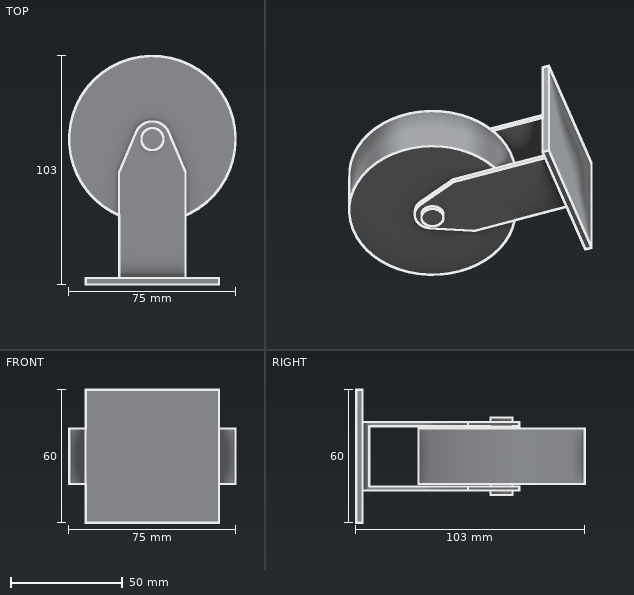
import cadquery as cq
import math

wheel_diameter = 75.0
wheel_width = 25.0
axle_diameter = 10.0
axle_length = 35.0

plate_size = 60.0
plate_thickness = 3.0
axle_to_plate_face = 65.5

fork_width = 30.0
fork_outer_height = 31.0
fork_arm_thickness = 2.0
fork_bridge_thickness = 3.0
fork_tip_radius = 8.0
fork_taper_start_y = -15.0

plate_front_y = -axle_to_plate_face
plate_back_y = plate_front_y + plate_thickness
fork_half_width = fork_width / 2
fork_gap = fork_outer_height - 2 * fork_arm_thickness


def disc(diameter, height):
    """Cylinder on the axle line, centred on the mid-plane of the wheel."""
    return cq.Workplane("XY").circle(diameter / 2).extrude(height / 2, both=True)


def mounting_plate():
    return cq.Workplane("XY").box(
        plate_size, plate_thickness, plate_size
    ).translate((0, plate_front_y + plate_thickness / 2, 0))


def fork_blank():
    """Solid block with the arm outline: parallel sides tapering tangentially to a round tip."""
    corner_distance = math.hypot(fork_half_width, fork_taper_start_y)
    corner_angle = math.atan2(fork_taper_start_y, fork_half_width)
    tangent_angle = corner_angle + math.acos(fork_tip_radius / corner_distance)
    tangent_x = fork_tip_radius * math.cos(tangent_angle)
    tangent_y = fork_tip_radius * math.sin(tangent_angle)
    return (
        cq.Workplane("XY")
        .moveTo(-fork_half_width, plate_back_y)
        .lineTo(fork_half_width, plate_back_y)
        .lineTo(fork_half_width, fork_taper_start_y)
        .lineTo(tangent_x, tangent_y)
        .threePointArc((0, fork_tip_radius), (-tangent_x, tangent_y))
        .lineTo(-fork_half_width, fork_taper_start_y)
        .close()
        .extrude(fork_outer_height / 2, both=True)
    )


def fork():
    """U-shaped fork: two arms joined by a bridge against the mounting plate."""
    gap_start_y = plate_back_y + fork_bridge_thickness
    gap_length = fork_tip_radius - gap_start_y
    gap = cq.Workplane("XY").box(fork_width, gap_length, fork_gap).translate(
        (0, gap_start_y + gap_length / 2, 0)
    )
    return fork_blank().cut(gap)


wheel = disc(wheel_diameter, wheel_width)
axle = disc(axle_diameter, axle_length)

result = mounting_plate().union(fork()).union(axle).union(wheel)